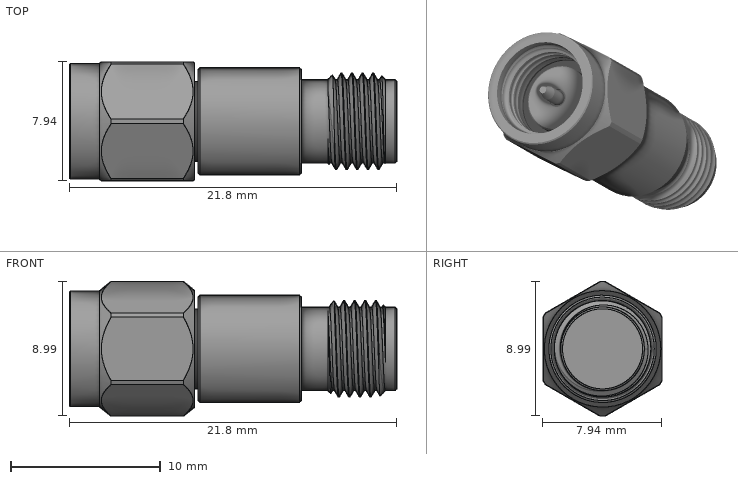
import cadquery as cq
import math


total_length = 21.84

nut_collar_radius = 3.86
nut_collar_chamfer = 0.08
hex_sides = 6
hex_across_flats = 7.94
hex_corner_diameter = 8.99
hex_start = 2.03
hex_end = 8.36
hex_chamfer_length = 0.75
hex_chamfer_depth = 0.61

mouth_radius = 3.16
mouth_depth = 0.69
socket_radius = 2.81
socket_lead_in_end = 1.11
socket_depth = 3.8

shell_radius = 2.23
shell_chamfer = 0.11
shell_face = 2.75
recess_radius = 0.60
recess_depth = 0.10
pin_radius = 0.46
pin_tip_radius = 0.24
pin_tip = 0.47
pin_taper_end = 1.30

neck_radius = 2.67
body_start = 8.58
body_end = 15.47
body_radius = 3.58
body_chamfer = 0.13
barrel_radius = 2.79
barrel_chamfer = 0.12

inch = 25.4
threads_per_inch = 36
pitch = inch / threads_per_inch
thread_radius = 3.22
thread_start = 17.24
thread_end = 21.08
thread_crest_width = 0.06
thread_flank_angle = 30
thread_helix_start = 16.56
nut_thread_radius = 3.20
nut_thread_helix_start = 0.66
lining_radius = 3.50
thread_overlap = 0.10


def turned(profile):
    """Revolve an (x, radius) outline around the X axis."""
    return cq.Workplane("XY").polyline(profile).close().revolve(360, (0, 0, 0), (1, 0, 0))


def helical_ridge(root_radius, crest_radius, start, end):
    """Trapezoidal rib wound round the X axis, narrowing from the root to the crest."""
    flank_run = (crest_radius - root_radius) * math.tan(math.radians(thread_flank_angle))
    crest_half = thread_crest_width / 2
    root_half = crest_half + abs(flank_run)
    path = cq.Wire.makeHelix(pitch, end - start, root_radius)
    section = [
        (root_radius, -root_half),
        (crest_radius, -crest_half),
        (crest_radius, crest_half),
        (root_radius, root_half),
    ]
    ridge = cq.Workplane("XZ").polyline(section).close().sweep(cq.Workplane(path), isFrenet=True)
    return ridge.rotate((0, 0, 0), (0, 1, 0), 90).translate((start, 0, 0))


def make_hex():
    """Hex prism with flats on +Y and -Y, its corners trimmed round and chamfered at both ends."""
    half_side_angle = math.pi / hex_sides
    prism = (
        cq.Workplane("YZ", origin=(hex_start, 0, 0))
        .polygon(hex_sides, hex_across_flats / math.cos(half_side_angle))
        .extrude(hex_end - hex_start)
        .rotate((0, 0, 0), (1, 0, 0), math.degrees(half_side_angle))
    )
    corner_radius = hex_corner_diameter / 2
    end_radius = corner_radius - hex_chamfer_depth
    corner_limit = turned([
        (hex_start, 0),
        (hex_start, end_radius),
        (hex_start + hex_chamfer_length, corner_radius),
        (hex_end - hex_chamfer_length, corner_radius),
        (hex_end, end_radius),
        (hex_end, 0),
    ])
    return prism.intersect(corner_limit)


def make_turned_body():
    """Solid of revolution from the nut collar to the end of the barrel."""
    return turned([
        (0, 0),
        (0, nut_collar_radius - nut_collar_chamfer),
        (nut_collar_chamfer, nut_collar_radius),
        (hex_start, nut_collar_radius),
        (hex_start, neck_radius),
        (body_start, neck_radius),
        (body_start, body_radius - body_chamfer),
        (body_start + body_chamfer, body_radius),
        (body_end - body_chamfer, body_radius),
        (body_end, body_radius - body_chamfer),
        (body_end, barrel_radius),
        (total_length - barrel_chamfer, barrel_radius),
        (total_length, barrel_radius - barrel_chamfer),
        (total_length, 0),
    ])


def make_male_thread():
    """Thread ridge whose two ends fade into the barrel along 45 degree cones."""
    root_radius = barrel_radius - thread_overlap
    ridge = helical_ridge(root_radius, thread_radius, thread_helix_start, total_length)
    ramp = thread_radius - barrel_radius
    limit_radius = thread_radius + thread_overlap
    limit = turned([
        (thread_start, 0),
        (thread_start, barrel_radius),
        (thread_start + ramp + thread_overlap, limit_radius),
        (thread_end - ramp - thread_overlap, limit_radius),
        (thread_end, barrel_radius),
        (thread_end, 0),
    ])
    return ridge.intersect(limit)


def make_socket():
    """Plain round space removed from the nut before the threaded lining goes in."""
    return turned([
        (0, 0),
        (0, mouth_radius),
        (mouth_depth, mouth_radius),
        (mouth_depth, lining_radius),
        (socket_depth, lining_radius),
        (socket_depth, 0),
    ])


def make_thread_lining():
    """Threaded lining of the socket with a conical lead-in at the mouth."""
    tube_end = socket_depth + 2 * pitch
    tube = turned([
        (0, socket_radius),
        (0, lining_radius),
        (tube_end, lining_radius),
        (tube_end, socket_radius),
    ])
    clear_radius = socket_radius - thread_overlap
    groove = helical_ridge(clear_radius, nut_thread_radius, nut_thread_helix_start, socket_depth + pitch)
    lead_in_slope = (mouth_radius - socket_radius) / (socket_lead_in_end - mouth_depth)
    lead_in_tip = socket_lead_in_end + thread_overlap / lead_in_slope
    lining_limit = turned([
        (mouth_depth, mouth_radius),
        (mouth_depth, lining_radius),
        (socket_depth, lining_radius),
        (socket_depth, clear_radius),
        (lead_in_tip, clear_radius),
    ])
    return tube.cut(groove).intersect(lining_limit)


def make_shell_and_pin():
    """Chamfered shell on the socket floor, with a tapered pin in a shallow face recess."""
    recess_floor = shell_face + recess_depth
    return turned([
        (pin_tip, 0),
        (pin_tip, pin_tip_radius),
        (pin_taper_end, pin_radius),
        (recess_floor, pin_radius),
        (recess_floor, recess_radius),
        (shell_face, recess_radius),
        (shell_face, shell_radius - shell_chamfer),
        (shell_face + shell_chamfer, shell_radius),
        (hex_end, shell_radius),
        (hex_end, 0),
    ])


result = (
    make_turned_body()
    .union(make_hex())
    .union(make_male_thread())
    .cut(make_socket())
    .union(make_thread_lining())
    .union(make_shell_and_pin())
)